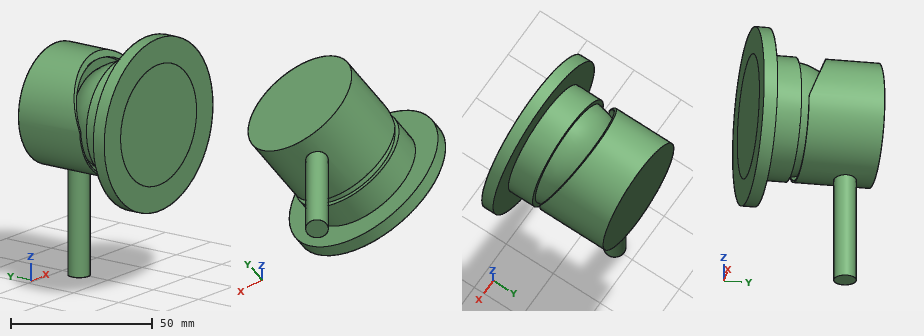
import cadquery as cq
flange_radius = 31.75
flange_thickness = 4.8

base_radius = 22.2
base_length = 15.1

ball_radius = 20.5
ball_centre_y = 13.5

cap_radius = base_radius
cap_front_y = 17.9
cap_back_y = 45.0
cap_floor_y = 26.2
pocket_radius = 21.5
pocket_centre_y = 17.15
cap_offset_x = -0.3
cap_offset_z = 0.3

cut_low_z = -0.9
cut_top_y = 26.9

lever_radius = 4.0
lever_y = 34.7
lever_offset_x = -0.6
lever_socket_depth = 5.6
overall_height = 92.7

lever_bottom_z = flange_radius - overall_height
lever_top_z = lever_socket_depth - cap_radius


def cylinder_y(radius, front_y, back_y, x=0.0, z=0.0):
    """Solid cylinder along +Y between two Y positions."""
    axis_plane = cq.Plane(origin=(x, front_y, z), xDir=(1, 0, 0), normal=(0, 1, 0))
    return cq.Workplane(axis_plane).circle(radius).extrude(back_y - front_y)


def truncated_sphere(radius, centre_y, front_y, back_y, x=0.0, z=0.0):
    """Sphere on an axis along +Y, cut flat at two Y positions."""
    sphere = cq.Workplane("XY").sphere(radius).translate((x, centre_y, z))
    return sphere.intersect(cylinder_y(2 * radius, front_y, back_y, x, z))


def make_base():
    return cylinder_y(base_radius, 0, base_length)


def make_flange():
    """Flat ring that fits closely around the base."""
    return cylinder_y(flange_radius, 0, flange_thickness).cut(make_base())


def make_ball():
    """Sphere cut flat where it meets the base and the floor of the cap."""
    return truncated_sphere(ball_radius, ball_centre_y, base_length, cap_floor_y)


def make_lever():
    return (
        cq.Workplane("XY", origin=(lever_offset_x, lever_y, lever_bottom_z))
        .circle(lever_radius)
        .extrude(lever_top_z - lever_bottom_z)
    )


def make_slanted_cut():
    """Wedge that clears the upper front of the cap."""
    return (
        cq.Workplane("YZ", origin=(cap_offset_x, 0, cap_offset_z))
        .moveTo(cap_front_y, cut_low_z)
        .lineTo(cut_top_y, cap_radius)
        .lineTo(cap_front_y, cap_radius)
        .close()
        .extrude(cap_radius, both=True)
    )


def make_cap():
    """Round cap with a flat-bottomed spherical pocket, a slanted front and a socket for the lever."""
    body = cylinder_y(cap_radius, cap_front_y, cap_back_y, cap_offset_x, cap_offset_z)
    pocket = truncated_sphere(
        pocket_radius, pocket_centre_y, cap_front_y, cap_floor_y, cap_offset_x, cap_offset_z
    )
    return body.cut(pocket).cut(make_slanted_cut()).cut(make_lever())


flange = make_flange()
base = make_base()
ball = make_ball()
lever = make_lever()
cap = make_cap()

result = cq.Compound.makeCompound([flange.val(), base.val(), ball.val(), cap.val(), lever.val()])